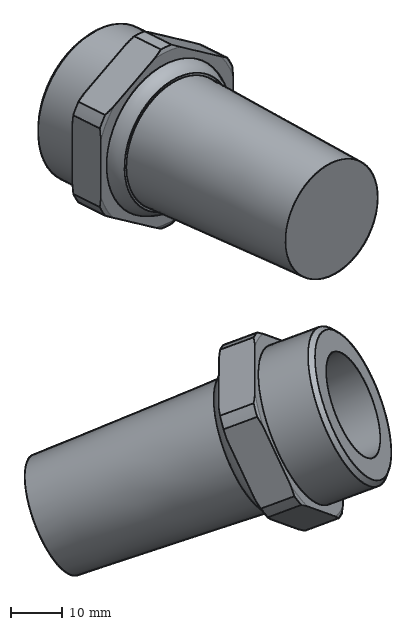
import cadquery as cq
import math

length = 66.0
nut_start = 12.0
nut_width = 8.0
nut_end = nut_start + nut_width
collar_end = 23.05

body_radius = 16.55
body_chamfer = 1.0
bore_radius = 11.0
bore_depth = 10.35

across_flats = 36.0
corner_radius = 20.0
corner_chamfer_height = 0.85
corner_chamfer_length = 0.25

collar_radius = 16.45
collar_end_radius = 14.5
collar_mid_position = 21.65
collar_mid_radius = 15.7

stem_base_radius = 14.0
stem_tip_radius = 12.55


def make_body():
    """Short chamfered cylinder, running through to the back of the nut."""
    body = cq.Workplane("YZ").circle(body_radius).extrude(nut_end)
    return body.faces("<X").chamfer(body_chamfer)


def make_nut():
    """Hexagon with corners up and down, trimmed by a chamfered cylinder."""
    hexagon = (
        cq.Workplane("YZ", origin=(nut_start, 0, 0))
        .polygon(6, across_flats / math.cos(math.pi / 6))
        .extrude(nut_width)
        .rotate((0, 0, 0), (1, 0, 0), 90)
    )
    face_radius = corner_radius - corner_chamfer_height
    envelope = (
        cq.Workplane("XZ")
        .moveTo(nut_start, 0)
        .lineTo(nut_start, face_radius)
        .lineTo(nut_start + corner_chamfer_length, corner_radius)
        .lineTo(nut_end - corner_chamfer_length, corner_radius)
        .lineTo(nut_end, face_radius)
        .lineTo(nut_end, 0)
        .close()
        .revolve(360, (0, 0, 0), (1, 0, 0))
    )
    return hexagon.intersect(envelope)


def make_collar_and_stem():
    """Revolved rounded collar, step and tapered stem."""
    return (
        cq.Workplane("XZ")
        .moveTo(nut_end, 0)
        .lineTo(nut_end, collar_radius)
        .threePointArc((collar_mid_position, collar_mid_radius), (collar_end, collar_end_radius))
        .lineTo(collar_end, stem_base_radius)
        .lineTo(length, stem_tip_radius)
        .lineTo(length, 0)
        .close()
        .revolve(360, (0, 0, 0), (1, 0, 0))
    )


bore = cq.Workplane("YZ").circle(bore_radius).extrude(bore_depth)

result = make_body().union(make_nut()).union(make_collar_and_stem()).cut(bore)